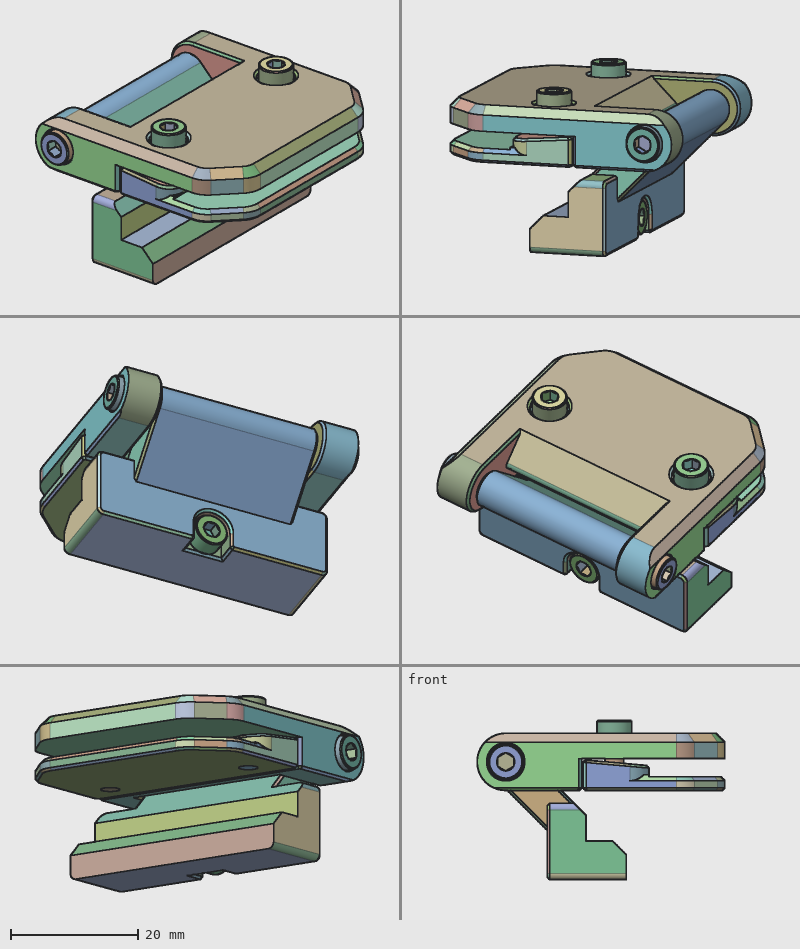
import cadquery as cq
import math


width = 40.0
edge_chamfer = 0.4
end_chamfer = 0.5
barrel_radius = 4.5
right_end = 34.4
half_width = width / 2
bottom = -barrel_radius
top = barrel_radius

corner_cut = 6.0
corner_radius = 4.0

plate_bottom = 0.5
plate_chamfer = 1.4
arm_end = 11.95
slot_width = 28.0
slot_slope_top = 10.08
wedge_tip = 5.5
wedge_nose_radius = 0.8
blank_start = -2 * barrel_radius

lower_start = 12.1
pad_end = 22.5
pad_corner_radius = 3.0
pad_top = 0.33
pad_angle = 5.0
lower_plate_top = -2.3
lower_top_chamfer = 0.65
shelf_height = 0.3

knuckle_radius = 3.0
knuckle_width = 27.6
block_left = 6.5
block_right = 12.6
block_top = -6.5
block_bottom = -18.5
block_corner_radius = 1.0
foot_right = 18.95
foot_top = -12.4
foot_chamfer = 2.2

shank_diameter = 3.0
head_diameter = 5.5
head_height = 3.0
head_chamfer = 0.2
socket_width = 2.5
socket_mouth_diameter = 2.8
socket_depth = 2.0
socket_turn = 30
counterbore_diameter = 6.2
pivot_counterbore_diameter = 6.0
clamp_screw_length = 8.0
pivot_screw_length = 12.0
latch_screw_length = 8.0

clamp_screw_x = 17.05
clamp_screw_y = 13.6
clamp_head_top = 6.5
pivot_head_end = 21.0
latch_head_x = 7.0
latch_screw_z = -15.5
latch_seat_x = latch_head_x + head_height


def screw(length):
    """Socket head screw along Z, outer face of the head at Z = 0, shank pointing down."""
    socket_corner_diameter = socket_width / math.cos(math.pi / 6)
    head = (
        cq.Workplane("XY").circle(head_diameter / 2).extrude(-head_height)
        .faces(">Z").chamfer(head_chamfer)
    )
    shank = cq.Workplane("XY").workplane(offset=-head_height).circle(shank_diameter / 2).extrude(-length)
    socket = (
        cq.Workplane("XY").polygon(6, socket_corner_diameter).extrude(-socket_depth)
        .rotate((0, 0, 0), (0, 0, 1), socket_turn)
    )
    socket_mouth = (
        cq.Workplane("XY").circle(socket_mouth_diameter / 2)
        .workplane(offset=-(socket_mouth_diameter - socket_width) / 2).circle(socket_width / 2).loft()
    )
    return head.union(shank).cut(socket).cut(socket_mouth)


def plate(left, low, high):
    """Plate with two cut and rounded corners at the free end."""
    length = right_end - left
    body = cq.Workplane("XY").box(length, width, high - low, centered=(False, True, False))
    body = body.translate((left, 0, low))
    body = body.edges("|Z and >X").chamfer(corner_cut)
    return body.edges("|Z and (not <X)").fillet(corner_radius)


def side_profile(points):
    """Closed polyline in the XZ plane."""
    return cq.Workplane("XZ").polyline(points).close()


def make_upper_clamp():
    body = plate(blank_start, bottom, top)
    body = body.faces(">Z").edges("not <X").chamfer(plate_chamfer)
    plate_part = body.intersect(
        cq.Workplane("XY").box(2 * right_end, width, top - plate_bottom, centered=(False, True, False))
        .translate((0, 0, plate_bottom))
    )
    hinge_blank = (
        cq.Workplane("XY").box(arm_end - blank_start, width, top - bottom, centered=(False, True, False))
        .translate((blank_start, 0, bottom))
        .edges("|Z and >X").chamfer(end_chamfer)
        .faces("<Z").edges("not <X").chamfer(edge_chamfer)
    )
    barrel = (
        cq.Workplane("XZ").moveTo(arm_end, top).lineTo(0, top)
        .threePointArc((-barrel_radius, 0), (0, bottom)).lineTo(arm_end, bottom).close()
        .extrude(half_width, both=True)
    )
    body = hinge_blank.intersect(barrel).intersect(body).union(plate_part)

    tip_z = top - (slot_slope_top - wedge_tip)
    opening = (
        side_profile([
            (blank_start, top),
            (slot_slope_top, top),
            (wedge_tip, tip_z),
            (wedge_tip + tip_z - bottom, bottom),
            (blank_start, bottom),
        ]).extrude(slot_width / 2, both=True)
        .edges(cq.selectors.NearestToPointSelector((wedge_tip, 0, tip_z))).fillet(wedge_nose_radius)
    )
    body = body.cut(opening)

    for side in (-1, 1):
        arm_rim = cq.selectors.BoxSelector(
            (blank_start, side * slot_width / 2 - edge_chamfer, 2 * bottom),
            (wedge_tip, side * slot_width / 2 + edge_chamfer, 2 * top),
        )
        body = body.edges(arm_rim).chamfer(edge_chamfer)
    return body


def make_lower_clamp():
    base = (
        plate(lower_start, bottom, lower_plate_top)
        .faces(">Z").edges("not <X").chamfer(lower_top_chamfer)
    )
    pad_length = pad_end - lower_start
    shelf = (
        plate(lower_start, bottom, lower_plate_top + shelf_height)
        .faces(">Z").edges("not <X").chamfer(lower_top_chamfer + shelf_height)
        .intersect(
            cq.Workplane("XY").box(pad_length, width, 2 * barrel_radius, centered=(False, True, True))
            .translate((lower_start, 0, 0))
        )
    )
    base = base.union(shelf).edges("|Z and <X").chamfer(end_chamfer)

    pad_fall = pad_length * math.tan(math.radians(pad_angle))
    pad = (
        side_profile([
            (lower_start, bottom),
            (lower_start, pad_top),
            (pad_end, pad_top - pad_fall),
            (pad_end, bottom),
        ]).extrude(half_width, both=True)
        .edges("|Z and >X").fillet(pad_corner_radius)
        .edges("|Z and <X").chamfer(end_chamfer)
        .faces(">Z").chamfer(edge_chamfer)
    )
    return base.union(pad).faces("<Z").chamfer(edge_chamfer)


def make_latch():
    tangent = knuckle_radius / math.sqrt(2)
    slope_sum = 2 * tangent
    block = side_profile([
        (block_left, block_top),
        (slope_sum - block_top, block_top),
        (block_right, slope_sum - block_right),
        (block_right, foot_top),
        (foot_right - foot_chamfer, foot_top),
        (foot_right, foot_top - foot_chamfer),
        (foot_right, block_bottom),
        (block_left, block_bottom),
    ]).extrude(half_width, both=True)
    block = block.faces("<Z or >Z").edges("|X").fillet(block_corner_radius)

    recess_depth = latch_seat_x - block_left
    recess_radius = counterbore_diameter / 2
    recess = (
        cq.Workplane("YZ").workplane(offset=block_left)
        .moveTo(-recess_radius, block_bottom)
        .lineTo(-recess_radius, latch_screw_z)
        .threePointArc((0, latch_screw_z + recess_radius), (recess_radius, latch_screw_z))
        .lineTo(recess_radius, block_bottom).close()
        .extrude(recess_depth)
    )
    block = block.cut(recess)

    recess_mouth = cq.selectors.BoxSelector(
        (block_left, -counterbore_diameter, block_bottom - edge_chamfer),
        (latch_seat_x + edge_chamfer, counterbore_diameter, block_bottom + edge_chamfer),
    )
    block = block.edges(recess_mouth).chamfer(edge_chamfer).faces("<X").chamfer(edge_chamfer)

    arm_root_x = block_left + edge_chamfer
    arm = (
        cq.Workplane("XZ").moveTo(tangent, tangent)
        .threePointArc((-tangent, tangent), (-tangent, -tangent))
        .lineTo(arm_root_x, -slope_sum - arm_root_x)
        .lineTo(slope_sum - block_top, block_top).close()
        .extrude(knuckle_width / 2, both=True)
        .faces("<Y or >Y").chamfer(edge_chamfer)
    )
    return block.union(arm)


clamp_screws = []
for side in (-1, 1):
    clamp_screws.append(
        screw(clamp_screw_length).translate((clamp_screw_x, side * clamp_screw_y, clamp_head_top))
    )

pivot_screws = []
for side in (-1, 1):
    pivot_screws.append(
        screw(pivot_screw_length).rotate((0, 0, 0), (1, 0, 0), -side * 90)
        .translate((0, side * pivot_head_end, 0))
    )

latch_screw = (
    screw(latch_screw_length).rotate((0, 0, 0), (0, 1, 0), -90).translate((latch_head_x, 0, latch_screw_z))
)


upper_clamp = make_upper_clamp()
lower_clamp = make_lower_clamp()
latch = make_latch()

seat_z = clamp_head_top - head_height
for side in (-1, 1):
    place = (clamp_screw_x, side * clamp_screw_y)
    shank_hole = (
        cq.Workplane("XY").workplane(offset=bottom).center(*place)
        .circle(shank_diameter / 2).extrude(top - bottom)
    )
    counterbore = (
        cq.Workplane("XY").workplane(offset=seat_z).center(*place)
        .circle(counterbore_diameter / 2).extrude(top - seat_z)
    )
    countersink = (
        cq.Workplane("XY").workplane(offset=top).center(*place)
        .circle(counterbore_diameter / 2 + edge_chamfer)
        .workplane(offset=-edge_chamfer).circle(counterbore_diameter / 2).loft()
    )
    upper_clamp = upper_clamp.cut(shank_hole).cut(counterbore).cut(countersink)
    lower_clamp = lower_clamp.cut(shank_hole)

pivot_seat_y = pivot_head_end - head_height
for side, pivot_screw in zip((-1, 1), pivot_screws):
    counterbore = (
        cq.Workplane("XZ").workplane(offset=-side * pivot_seat_y)
        .circle(pivot_counterbore_diameter / 2).extrude(-side * head_height)
    )
    upper_clamp = upper_clamp.cut(counterbore).cut(pivot_screw)
    latch = latch.cut(pivot_screw)

latch = latch.cut(latch_screw)

result = cq.Compound.makeCompound([
    upper_clamp.val(),
    lower_clamp.val(),
    latch.val(),
    *[body.val() for body in clamp_screws],
    *[body.val() for body in pivot_screws],
    latch_screw.val(),
])